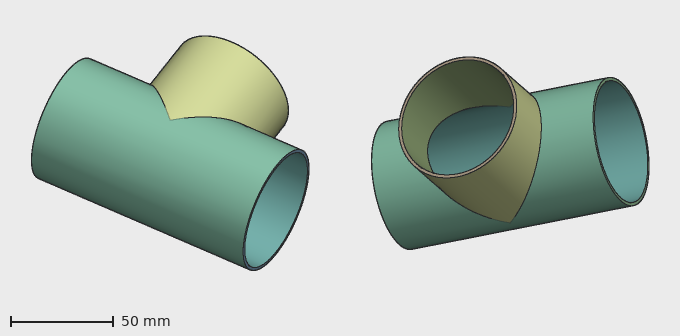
import cadquery as cq

run_length = 119.1
branch_length = run_length / 2
outer_diameter = 63.5
bore_diameter = 60.3


def tee(diameter):
    """Solid tee made of two crossing cylinders of one diameter."""
    radius = diameter / 2
    run = cq.Workplane("YZ").circle(radius).extrude(run_length / 2, both=True)
    branch = cq.Workplane("XZ").circle(radius).extrude(-branch_length)
    return run.union(branch)


result = tee(outer_diameter).cut(tee(bore_diameter))